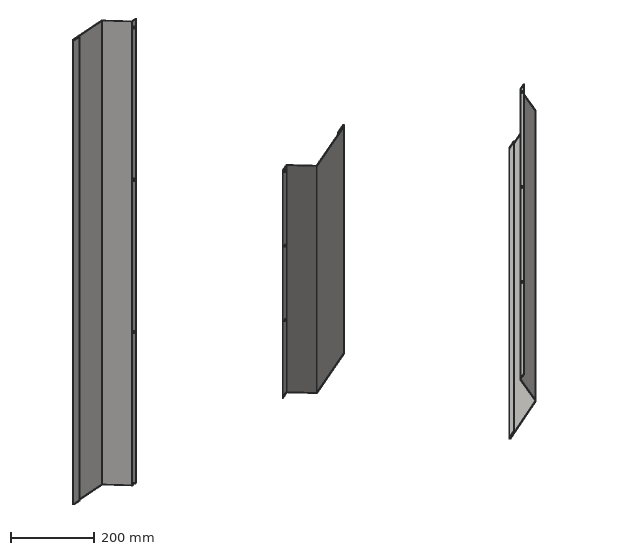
import cadquery as cq
import math

width = 64.0
depth = 181.0
length = 1250.0

sheet = 1.0
hem_gap = 2.0
hem_length = 25.0
wall_top = 128.0
slope_angle = math.radians(30)

hole_diameter = 6.5
hole_edge_distance = 10.0
first_hole_drop = 20.0
hole_pitch = 410.0
hole_count = 4

hem_outer_radius = hem_gap / 2 + sheet
hem_width = 2 * hem_outer_radius
mitre = sheet * math.tan((math.pi / 2 - slope_angle) / 2)
flange_bottom = wall_top - mitre + (width - sheet) * math.tan(slope_angle)


def sheet_section():
    """Closed outline of the bent sheet, including the folded hem."""
    return (
        cq.Workplane("XY")
        .moveTo(0, hem_outer_radius)
        .lineTo(0, wall_top)
        .lineTo(width - sheet, flange_bottom + mitre)
        .lineTo(width - sheet, depth)
        .lineTo(width, depth)
        .lineTo(width, flange_bottom)
        .lineTo(sheet, wall_top - mitre)
        .lineTo(sheet, hem_outer_radius)
        .threePointArc((hem_outer_radius, sheet), (hem_width - sheet, hem_outer_radius))
        .lineTo(hem_width - sheet, hem_length)
        .lineTo(hem_width, hem_length)
        .lineTo(hem_width, hem_outer_radius)
        .threePointArc((hem_outer_radius, 0), (0, hem_outer_radius))
        .close()
    )


def flange_holes():
    """Cylinders through the flange; the last one breaks out of the bottom end."""
    hole_y = depth - hole_edge_distance
    centers = [
        (hole_y, length - first_hole_drop - index * hole_pitch)
        for index in range(hole_count)
    ]
    return (
        cq.Workplane("YZ", origin=(width - sheet, 0, 0))
        .pushPoints(centers)
        .circle(hole_diameter / 2)
        .extrude(sheet)
    )


profile = sheet_section().extrude(length)
result = profile.cut(flange_holes())